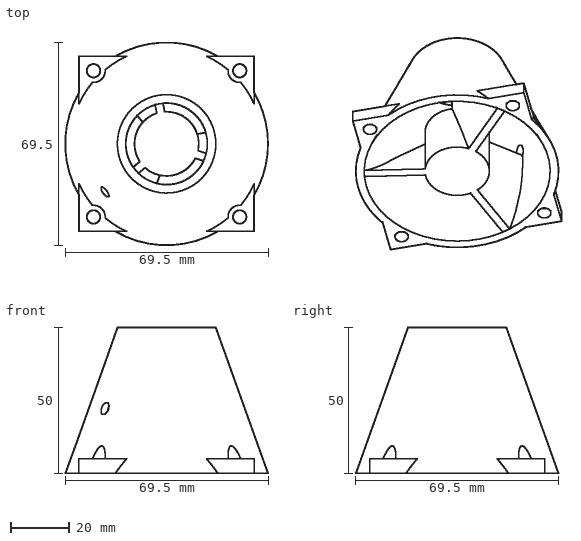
import cadquery as cq
import math

BASE_DIAMETER = 69.5
TOP_DIAMETER = 33.7
HEIGHT = 50.0
WALL = 2.9

FLANGE_SIDE = 60.0
FLANGE_THICKNESS = 5.0
SCREW_SPACING = 50.05
SCREW_HOLE_DIAMETER = 4.5
SCREW_HEAD_DIAMETER = 8.0

CABLE_HOLE_DIAMETER = 4.0
CABLE_HOLE_HEIGHT = 22.2
CABLE_HOLE_ANGLE = 218.0

STATOR_HEIGHT = 20.0
HUB_DIAMETER = 22.0
BLADE_COUNT = 3
BLADE_THICKNESS = 2.8
BLADE_TOP_ANGLE = 100.6
BLADE_TWIST = 30.0


def solid_cone(bottom_radius, top_radius):
    """Upright cone frustum of full height on the base plane."""
    return cq.Workplane(cq.Solid.makeCone(bottom_radius, top_radius, HEIGHT))


def inner_cone():
    """The hollow of the housing, open at both ends."""
    return solid_cone(BASE_DIAMETER / 2 - WALL, TOP_DIAMETER / 2 - WALL)


def make_flange():
    return cq.Workplane().rect(FLANGE_SIDE, FLANGE_SIDE).extrude(FLANGE_THICKNESS)


def at_screws(start_height, diameter, length):
    """Vertical cylinders on the four screw axes."""
    return (
        cq.Workplane()
        .workplane(offset=start_height)
        .rect(SCREW_SPACING, SCREW_SPACING, forConstruction=True)
        .vertices()
        .circle(diameter / 2)
        .extrude(length)
    )


def cable_hole_cutter():
    """Radial cylinder from the axis out through one side of the wall."""
    angle = math.radians(CABLE_HOLE_ANGLE)
    outward = cq.Vector(math.cos(angle), math.sin(angle), 0)
    start = cq.Vector(0, 0, CABLE_HOLE_HEIGHT)
    return cq.Solid.makeCylinder(CABLE_HOLE_DIAMETER / 2, BASE_DIAMETER / 2, start, outward)


def make_housing():
    body = solid_cone(BASE_DIAMETER / 2, TOP_DIAMETER / 2).union(make_flange())
    body = body.cut(inner_cone())
    body = body.cut(at_screws(0, SCREW_HOLE_DIAMETER, FLANGE_THICKNESS))
    body = body.cut(at_screws(FLANGE_THICKNESS, SCREW_HEAD_DIAMETER, HEIGHT - FLANGE_THICKNESS))
    return body.cut(cable_hole_cutter())


def make_blade(top_angle):
    """One twisted blade from the axis to beyond the inner wall, before trimming."""
    length = BASE_DIAMETER / 2
    blade = (
        cq.Workplane()
        .moveTo(length / 2, 0)
        .rect(length, BLADE_THICKNESS)
        .twistExtrude(STATOR_HEIGHT, -BLADE_TWIST)
    )
    return blade.rotate((0, 0, 0), (0, 0, 1), top_angle + BLADE_TWIST)


def make_stator():
    """Hub and blades, trimmed to fit the hollow of the housing."""
    body = cq.Workplane().circle(HUB_DIAMETER / 2).extrude(STATOR_HEIGHT)
    for index in range(BLADE_COUNT):
        body = body.union(make_blade(BLADE_TOP_ANGLE + index * 360 / BLADE_COUNT))
    return body.intersect(inner_cone())


housing = make_housing()
stator = make_stator()
result = cq.Compound.makeCompound([*housing.solids().vals(), *stator.solids().vals()])